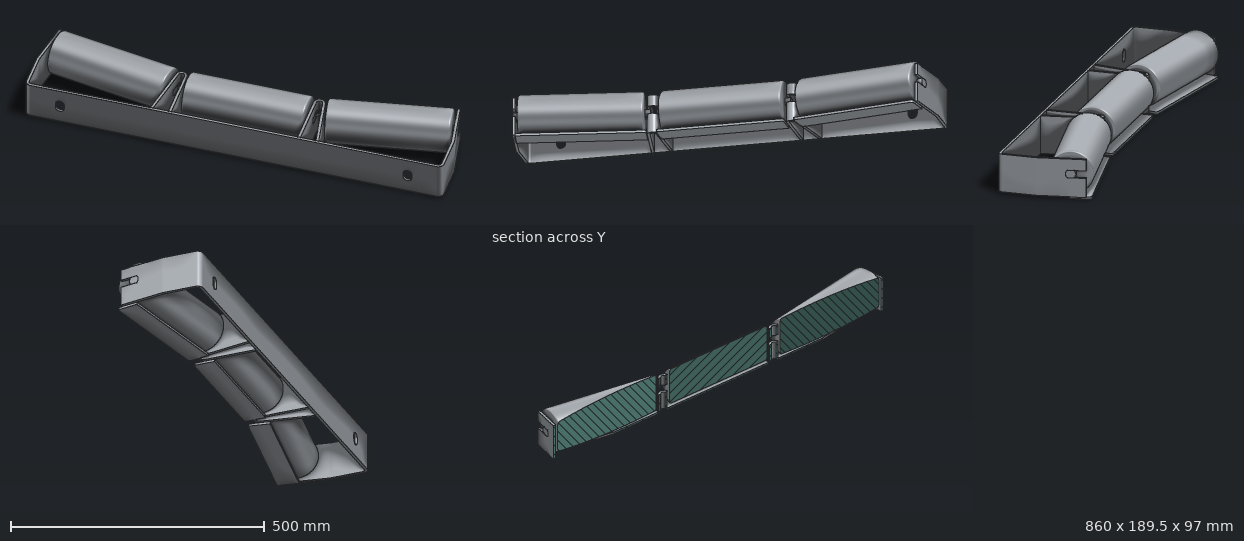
import cadquery as cq
import math

sheet = 6.0
bend_radius = 6.0
outer_bend_radius = bend_radius + sheet
bay_length = 260.0
wing_angle = 10.0

frame_length = 860.0
frame_height = 78.0
arm_bend_y = 81.0
arm_end_y = 178.0
mount_spacing = 715.5
mount_width = 18.0
mount_height = 26.0

roller_radius = 45.0
roller_length = 250.0
roller_edge_radius = 5.0
shaft_radius = 10.0
shaft_flat_width = 15.5
axis_z = 47.0
center_axis_y = 100.0
wing_axis_offset = 73.0

guard_width = 45.0
guard_thickness = 5.0
guard_front = -3.5
guard_corner_radius = 5.0

half_length = frame_length / 2
sin_wing = math.sin(math.radians(wing_angle))
cos_wing = math.cos(math.radians(wing_angle))
arm_outer = half_length * cos_wing + arm_bend_y * sin_wing
arm_inner = arm_outer - sheet
wing_leg = arm_inner - bay_length
wing_center = arm_inner - bay_length / 2
center_leg = bay_length / 2
shaft_length = bay_length + 2 * sheet


def point_on_leaning_face(distance, y):
    """Point at height y on the face that lies at this distance along the side roller's axis."""
    return ((distance - y * sin_wing) / cos_wing, y)


def place_in_bays(body):
    """Copies of a body modelled about the origin, one in each of the three bays."""
    places = [(-wing_center, wing_axis_offset, -wing_angle),
              (0, center_axis_y, 0),
              (wing_center, wing_axis_offset, wing_angle)]
    return [body.translate((x, y, 0)).rotate((0, 0, 0), (0, 0, 1), turn) for x, y, turn in places]


def round_upright_edges(body, points, radius):
    """Fillet the vertical edges of a frame-high body that stand at the given points."""
    for x, y in points:
        edge = cq.selectors.NearestToPointSelector((x, y, frame_height / 2))
        body = body.edges("|Z").edges(edge).fillet(radius)
    return body


def mirrored(points):
    return [(-x, y) for x, y in reversed(points)]


def make_axle_slot():
    """Cutter for the two open slots of one bay, each ending in an arc around the shaft."""
    half_flat = shaft_flat_width / 2
    chord_y = -math.sqrt(shaft_radius**2 - half_flat**2)
    reach = bay_length / 2 + sheet + bend_radius
    return (
        cq.Workplane("YZ", origin=(-reach, 0, axis_z))
        .moveTo(arm_end_y, -half_flat)
        .lineTo(chord_y, -half_flat)
        .threePointArc((-shaft_radius, 0), (chord_y, half_flat))
        .lineTo(arm_end_y, half_flat)
        .close()
        .extrude(2 * reach)
    )


def make_frame():
    """Bent strip: a long back with two end arms that lean inwards."""
    outer_corner = (half_length, 0)
    outer_knee = (half_length, arm_bend_y)
    inner_x = half_length - sheet
    inner_corner = (inner_x, sheet)
    inner_knee = (inner_x, (arm_inner - inner_x * cos_wing) / sin_wing)
    end_x, end_y = point_on_leaning_face(arm_outer, arm_end_y)
    inner_end = (end_x - sheet * cos_wing, end_y - sheet * sin_wing)

    outside = [outer_corner, outer_knee, (end_x, end_y)]
    inside = [inner_end, inner_knee, inner_corner]
    right_side = outside + inside
    frame = cq.Workplane("XY").polyline(right_side + mirrored(right_side)).close().extrude(frame_height)

    convex = [outer_corner, outer_knee]
    concave = [inner_knee, inner_corner]
    frame = round_upright_edges(frame, convex + mirrored(convex), outer_bend_radius)
    frame = round_upright_edges(frame, concave + mirrored(concave), bend_radius)

    mounts = (
        cq.Workplane("XZ", origin=(0, 0, frame_height / 2))
        .pushPoints([(-mount_spacing / 2, 0), (mount_spacing / 2, 0)])
        .slot2D(mount_height, mount_width, 90)
        .extrude(-sheet)
    )
    return frame.cut(mounts)


def make_bracket():
    """Right-hand folded bracket: an upright leg and a leaning leg joined by a round bend."""
    far_side = center_leg + sheet
    bend_x = far_side + bend_radius
    bend_y = (wing_leg - outer_bend_radius - bend_x * cos_wing) / sin_wing
    crown = math.radians(90 + wing_angle / 2)

    def on_bend(radius, angle):
        return (bend_x + radius * math.cos(angle), bend_y + radius * math.sin(angle))

    lean = math.radians(wing_angle)
    return (
        cq.Workplane("XY")
        .moveTo(center_leg, sheet)
        .lineTo(center_leg, bend_y)
        .threePointArc(on_bend(outer_bend_radius, crown), on_bend(outer_bend_radius, lean))
        .lineTo(*point_on_leaning_face(wing_leg, sheet))
        .lineTo(*point_on_leaning_face(wing_leg - sheet, sheet))
        .lineTo(*on_bend(bend_radius, lean))
        .threePointArc(on_bend(bend_radius, crown), (far_side, bend_y))
        .lineTo(far_side, sheet)
        .close()
        .extrude(frame_height)
    )


def make_roller():
    """Roller with its shaft along X; the shaft is flattened where it leaves the roller."""
    drum = (
        cq.Workplane("YZ", origin=(-roller_length / 2, 0, axis_z))
        .circle(roller_radius)
        .extrude(roller_length)
        .faces("<X or >X")
        .edges()
        .fillet(roller_edge_radius)
    )
    flats = cq.Workplane("XY", origin=(0, 0, axis_z)).box(shaft_length, 2 * shaft_radius, shaft_flat_width)
    shaft = (
        cq.Workplane("YZ", origin=(-shaft_length / 2, 0, axis_z))
        .circle(shaft_radius)
        .extrude(shaft_length)
        .intersect(flats)
    )
    return drum.union(shaft)


def make_guard():
    """Flat plate just below a roller, level with the underside of the frame."""
    return (
        cq.Workplane("XY")
        .box(bay_length, guard_width, guard_thickness, centered=(True, False, False))
        .edges("|Z and >Y")
        .fillet(guard_corner_radius)
        .translate((0, guard_front, -guard_thickness))
    )


axle_slots = place_in_bays(make_axle_slot())

frame = make_frame()
right_bracket = make_bracket()
brackets = [right_bracket, right_bracket.mirror("YZ")]
for slot in axle_slots:
    frame = frame.cut(slot)
    brackets = [bracket.cut(slot) for bracket in brackets]

rollers = place_in_bays(make_roller())
guards = place_in_bays(make_guard())

bodies = [frame, *brackets, *rollers, *guards]
result = cq.Compound.makeCompound([body.solids().val() for body in bodies])